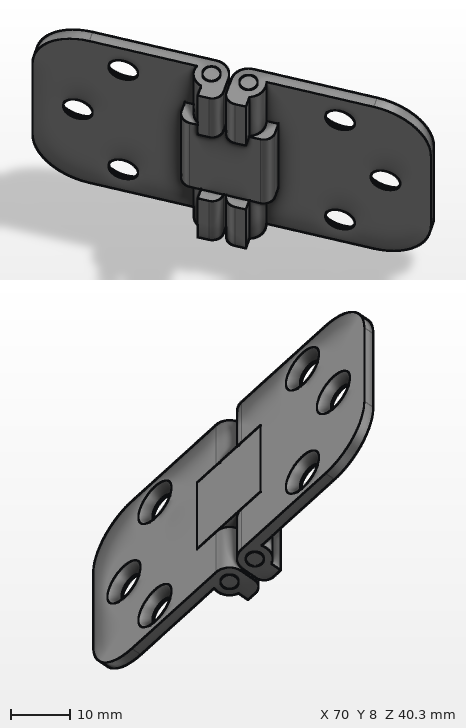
import cadquery as cq


hinge_width = 70.0
leaf_height = 40.0
leaf_thickness = 2.0
corner_radius = 10.0
leaf_gap = 0.5

barrel_radius = 3.0
leg_width = 4.0
leg_depth = 8.0
leg_edge_radius = 2.0

hole_diameter = 5.2
sink_diameter = 8.55
hole_row_spacing = 14.0
inner_hole_x = 19.05
outer_hole_x = 27.0

pin_radius = 1.55
pin_length = 40.3

link_height = 18.0
link_wall = 5.0
link_edge_radius = 2.0

half_gap = leaf_gap / 2
pin_x = half_gap + barrel_radius
pin_y = -barrel_radius
link_width = 2 * (pin_x + link_wall)
link_depth = 2 * barrel_radius
sink_depth = (sink_diameter - hole_diameter) / 2
hole_centers = [
    (inner_hole_x, hole_row_spacing),
    (outer_hole_x, 0),
    (inner_hole_x, -hole_row_spacing),
]


def upright(radius, x, y, height):
    """Cylinder along Z, centred on Z = 0."""
    return (
        cq.Workplane("XY", origin=(x, y, -height / 2))
        .circle(radius)
        .extrude(height)
    )


def upright_box(x_min, x_max, y_min, y_max, height):
    """Box between the given X and Y limits, centred on Z = 0."""
    return (
        cq.Workplane("XY")
        .box(x_max - x_min, y_max - y_min, height, centered=(False, False, True))
        .translate((x_min, y_min, 0))
    )


def make_plate():
    """Flat plate of the right leaf, ending above the pin axis."""
    plate = upright_box(pin_x, hinge_width / 2, -leaf_thickness, 0, leaf_height)
    return plate.edges("|Y and >X").fillet(corner_radius)


def make_knuckle():
    """Barrel and stop leg of the right leaf, over the full leaf height."""
    barrel = upright(barrel_radius, pin_x, pin_y, leaf_height)
    leg = upright_box(half_gap, half_gap + leg_width, -leg_depth, pin_y, leaf_height)
    leg = leg.edges("|Z and <X and <Y").fillet(leg_edge_radius)
    return barrel.union(leg)


def make_screw_hole(x, z):
    """Cutter for one hole: a short straight land at the front, then a countersink to the back."""
    hole_radius = hole_diameter / 2
    profile = [
        (0, 0),
        (sink_diameter / 2, 0),
        (hole_radius, -sink_depth),
        (hole_radius, -leaf_thickness),
        (0, -leaf_thickness),
    ]
    return (
        cq.Workplane("XY")
        .polyline(profile)
        .close()
        .revolve(360, (0, 0), (0, 1))
        .translate((x, 0, z))
    )


def make_leaf():
    """Right leaf; its notch clears the link block and its barrel is bored for the pin."""
    notch = upright_box(-link_width / 2, link_width / 2, -leg_depth, 0, link_height)
    pin_bore = upright(pin_radius, pin_x, pin_y, leaf_height)
    leaf = make_plate().union(make_knuckle()).cut(notch).cut(pin_bore)
    for x, z in hole_centers:
        leaf = leaf.cut(make_screw_hole(x, z))
    return leaf


def make_link():
    """Block with rounded front edges and a bore for each pin."""
    link = upright_box(-link_width / 2, link_width / 2, -link_depth, 0, link_height)
    link = link.edges("|Z and <Y").fillet(link_edge_radius)
    for side in (-1, 1):
        link = link.cut(upright(pin_radius, side * pin_x, pin_y, link_height))
    return link


def make_pin(side):
    """Straight pin, standing slightly proud of the leaves at both ends."""
    return upright(pin_radius, side * pin_x, pin_y, pin_length)


right_leaf = make_leaf()
left_leaf = right_leaf.mirror("YZ")
link = make_link()
pins = [make_pin(side) for side in (-1, 1)]

result = cq.Compound.makeCompound(
    [right_leaf.val(), left_leaf.val(), link.val(), *[pin.val() for pin in pins]]
)